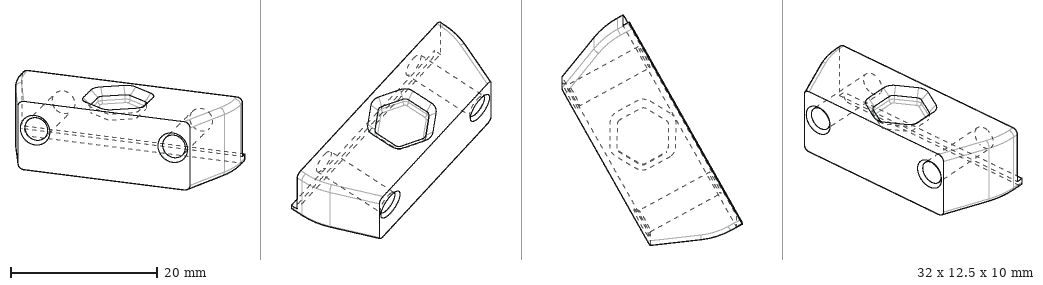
import cadquery as cq
import math

length = 32.0
depth = 12.5
height = 10.0
front_length = 25.0
taper_depth = 8.5
side_blend_radius = 11.0
edge_fillet = 0.8

lip_depth = 1.0
lip_height = 1.4

hole_diameter = 3.3
hole_spacing = 20.0
hole_z = 6.0
hole_chamfer = 0.5

hex_sides = 6
hex_half_angle = 180 / hex_sides
hex_flats = 7.0
hex_y = 5.75
hex_corner_radius = 0.75
hex_chamfer = 1.0
hex_flare_angle = 45
hex_depth = 2.0
hex_floor_fillet = 0.375


def make_body():
    """Tapered block with blended sides and rounded top and bottom side edges."""
    outline = [
        (-front_length / 2, 0),
        (front_length / 2, 0),
        (length / 2, taper_depth),
        (length / 2, depth),
        (-length / 2, depth),
        (-length / 2, taper_depth),
    ]
    body = cq.Workplane("XY").polyline(outline).close().extrude(height)
    taper_corners = cq.selectors.BoxSelector(
        (-length, taper_depth - edge_fillet, 0),
        (length, taper_depth + edge_fillet, height),
    )
    body = body.edges("|Z").edges(taper_corners).fillet(side_blend_radius)
    return body.faces("<Z or >Z").edges("not |X").fillet(edge_fillet)


def make_lip_cutter():
    """Removes the back of the block above the lip."""
    cutter = cq.Workplane("XY").box(
        length, lip_depth, height - lip_height, centered=(True, False, False)
    )
    return cutter.translate((0, depth - lip_depth, lip_height))


def make_screw_hole(x):
    """Through hole along Y with a conical entry at the front face."""
    radius = hole_diameter / 2
    axis_start = cq.Vector(x, 0, hole_z)
    direction = cq.Vector(0, 1, 0)
    bore = cq.Solid.makeCylinder(radius, depth, axis_start, direction)
    entry = cq.Solid.makeCone(radius + hole_chamfer, radius, hole_chamfer, axis_start, direction)
    return cq.Workplane(obj=bore).union(cq.Workplane(obj=entry))


def hex_prism(prism_height):
    """Hexagonal prism with rounded corners and two flats facing along X."""
    across_corners = hex_flats / math.cos(math.radians(hex_half_angle))
    prism = cq.Workplane("XY").polygon(hex_sides, across_corners).extrude(prism_height)
    prism = prism.rotate((0, 0, 0), (0, 0, 1), hex_half_angle)
    return prism.edges("|Z").fillet(hex_corner_radius)


def make_hex_pocket():
    """Pocket with a rounded floor edge and a flare at the mouth."""
    well = hex_prism(hex_depth).faces("<Z").edges().fillet(hex_floor_fillet)
    mouth_section = hex_prism(hex_chamfer).faces("<Z").wires().toPending()
    mouth = mouth_section.workplane(invert=True).extrude(hex_chamfer, taper=-hex_flare_angle, combine=False)
    mouth = mouth.translate((0, 0, hex_depth - hex_chamfer))
    return well.union(mouth).translate((0, hex_y, height - hex_depth))


result = make_body().cut(make_lip_cutter())
for hole_x in (-hole_spacing / 2, hole_spacing / 2):
    result = result.cut(make_screw_hole(hole_x))
result = result.cut(make_hex_pocket())